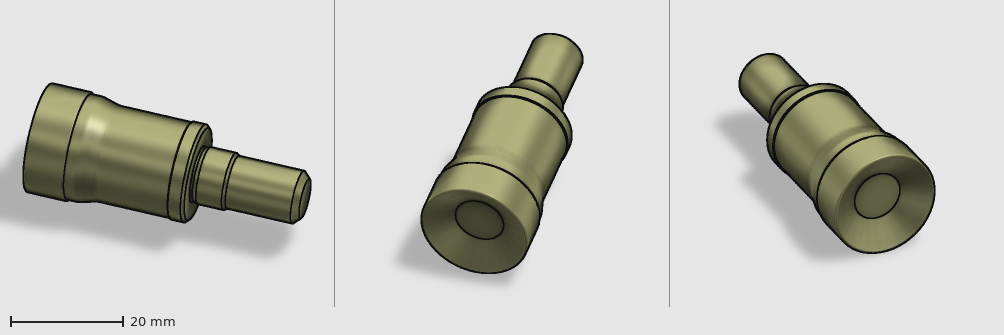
import cadquery as cq
import math

total_length = 49.65

cap_radius = 20.0 / 2
cap_length = 7.55
cap_edge_round = 0.3
rim_round = 0.35
seat_radius = 4.5
mouth_depth = 3.25

shoulder_radius = 19.4 / 2
barrel_radius = 17.6 / 2
taper_start = 9.65
taper_angle = math.radians(15)
shoulder_blend = 2.5
barrel_blend = 4.95

flange_radius = 18.0 / 2
flange_start = 26.65
flange_end = 29.7
flange_lead = 0.15
flange_chamfer = 0.55

neck_top_radius = 5.15
neck_radius = 5.0
neck_bottom = 30.15
collar_radius = 10.5 / 2
collar_start = 30.85
collar_end = 35.65
shank_radius = 9.75 / 2
shank_start = 36.25
tip_chamfer = 1.25


def turn(profile):
    """Revolve a closed (x, radius) profile about the X axis."""
    return profile.close().revolve(360, (0, 0, 0), (1, 0, 0))


def make_cap():
    """Ring with a rounded rim and a conical mouth narrowing to a bore for the housing nose."""
    diagonal = 1 - math.sqrt(0.5)
    rim_center_radius = cap_radius - rim_round
    rim_depth = mouth_depth - rim_round
    rim_rise = rim_center_radius - seat_radius
    rim_distance = math.hypot(rim_depth, rim_rise)
    cone_angle = math.atan2(rim_depth, rim_rise) + math.asin(rim_round / rim_distance)
    cone_length = math.sqrt(rim_distance**2 - rim_round**2)
    return turn(
        cq.Workplane("XY")
        .moveTo(mouth_depth, seat_radius)
        .lineTo(
            mouth_depth - cone_length * math.sin(cone_angle),
            seat_radius + cone_length * math.cos(cone_angle),
        )
        .tangentArcPoint((rim_round, cap_radius), relative=False)
        .lineTo(cap_length - cap_edge_round, cap_radius)
        .threePointArc(
            (cap_length - cap_edge_round * diagonal, cap_radius - cap_edge_round * diagonal),
            (cap_length, cap_radius - cap_edge_round),
        )
        .lineTo(cap_length, seat_radius)
    )


def make_housing():
    """Nose, shoulder, tapered barrel, flange, collar and shank turned as one piece."""
    taper_end = taper_start + (shoulder_radius - barrel_radius) / math.tan(taper_angle)
    half_tangent = math.tan(taper_angle / 2)
    shoulder_tangent = shoulder_blend * half_tangent
    barrel_tangent = barrel_blend * half_tangent
    along, inward = math.cos(taper_angle), math.sin(taper_angle)

    return turn(
        cq.Workplane("XY")
        .moveTo(mouth_depth, 0)
        .lineTo(mouth_depth, seat_radius)
        .lineTo(cap_length, seat_radius)
        .lineTo(cap_length, shoulder_radius)
        .lineTo(taper_start - shoulder_tangent, shoulder_radius)
        .tangentArcPoint(
            (taper_start + shoulder_tangent * along, shoulder_radius - shoulder_tangent * inward),
            relative=False,
        )
        .lineTo(taper_end - barrel_tangent * along, barrel_radius + barrel_tangent * inward)
        .tangentArcPoint((taper_end + barrel_tangent, barrel_radius), relative=False)
        .lineTo(flange_start, barrel_radius)
        .lineTo(flange_start + flange_lead, flange_radius)
        .lineTo(flange_end - flange_chamfer, flange_radius)
        .lineTo(flange_end, flange_radius - flange_chamfer)
        .lineTo(flange_end, neck_top_radius)
        .lineTo(neck_bottom, neck_radius)
        .lineTo(collar_start, collar_radius)
        .lineTo(collar_end, collar_radius)
        .lineTo(shank_start, shank_radius)
        .lineTo(total_length - tip_chamfer, shank_radius)
        .lineTo(total_length, shank_radius - tip_chamfer)
        .lineTo(total_length, 0)
    )


cap = make_cap()
housing = make_housing()

result = cq.Compound.makeCompound([cap.val(), housing.val()])